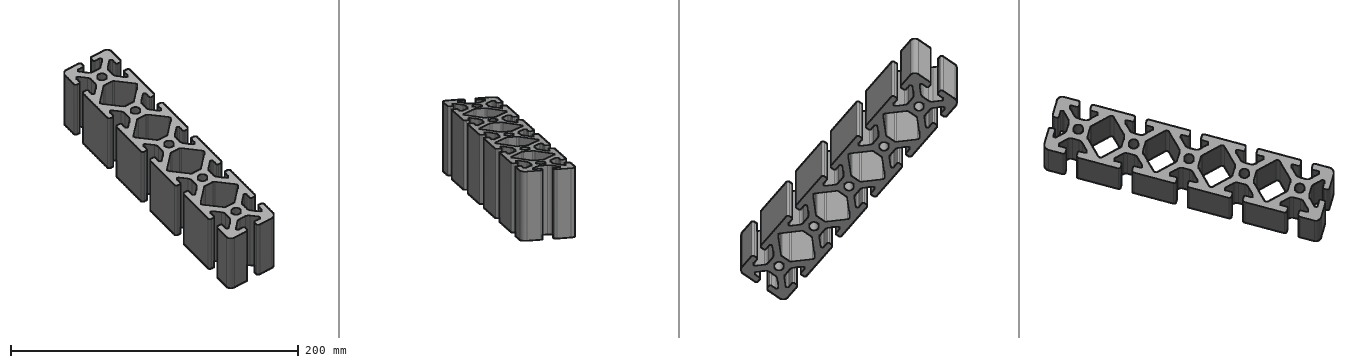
import cadquery as cq
import math

module_size = 40.0
module_count = 5
length = 50.0
corner_radius = 4.0

lip_thickness = 4.5
mouth_width = 8.2
mouth_outer_radius = 1.5
mouth_inner_radius = 1.0
cavity_half_width = 10.0
cavity_corner_radius = 1.0
floor_radius = 4.0

core_half_width = 7.5
strut_thickness = 5.0
bore_diameter = 6.8

hollow_radius = 2.0

half_module = module_size / 2
strut_offset = strut_thickness / math.sqrt(2)
total_width = module_count * module_size
module_centers = [(i - (module_count - 1) / 2) * module_size for i in range(module_count)]
hollow_centers = [x + half_module for x in module_centers[:-1]]


def rounded_prism(corners):
    """Prism over a closed polygon of (x, y, radius) corners; radius 0 leaves a corner sharp."""
    trims = []
    for i, (x, y, radius) in enumerate(corners):
        here = cq.Vector(x, y)
        to_previous = (cq.Vector(*corners[i - 1][:2]) - here).normalized()
        to_next = (cq.Vector(*corners[(i + 1) % len(corners)][:2]) - here).normalized()
        half_angle = to_previous.getAngle(to_next) / 2
        setback = radius / math.tan(half_angle)
        bisector = (to_previous + to_next).normalized()
        middle = here + bisector * (radius / math.sin(half_angle) - radius)
        trims.append((here + to_previous * setback, middle, here + to_next * setback, radius))

    outline = cq.Workplane("XY").moveTo(*trims[-1][2].toTuple()[:2])
    for start, middle, end, radius in trims:
        outline = outline.lineTo(start.x, start.y)
        if radius > 0:
            outline = outline.threePointArc((middle.x, middle.y), (end.x, end.y))
    return outline.close().extrude(length)


def mirrored(right_half):
    """Closed list of corners from those on the +X side, mirrored across the Y axis."""
    return right_half + [(-x, y, radius) for x, y, radius in reversed(right_half)]


def slot_cutter():
    """T-slot opening toward +Y, in a module centred on the origin."""
    mouth_half_width = mouth_width / 2
    lip_inner = half_module - lip_thickness
    flare_half_width = mouth_half_width + 2 * mouth_outer_radius
    return rounded_prism(mirrored([
        (core_half_width - strut_offset, core_half_width, floor_radius),
        (cavity_half_width, cavity_half_width + strut_offset, cavity_corner_radius),
        (cavity_half_width, lip_inner, cavity_corner_radius),
        (mouth_half_width, lip_inner, mouth_inner_radius),
        (mouth_half_width, half_module, mouth_outer_radius),
        (flare_half_width, half_module, 0),
        (flare_half_width, half_module + lip_thickness, 0),
    ]))


def hollow_cutter():
    """Six-sided hollow centred on the origin, pointed toward +Y and -Y, with rounded corners."""
    side = half_module - core_half_width
    tip = half_module - strut_offset
    return rounded_prism([
        (side, tip - side, hollow_radius),
        (0, tip, hollow_radius),
        (-side, tip - side, hollow_radius),
        (-side, side - tip, hollow_radius),
        (0, -tip, hollow_radius),
        (side, side - tip, hollow_radius),
    ])


def turned(cutter, angle):
    """Cutter rotated about the module axis by an angle in degrees."""
    return cutter.rotate((0, 0, 0), (0, 0, 1), angle)


body = (
    cq.Workplane("XY")
    .rect(total_width, module_size)
    .extrude(length)
    .edges("|Z")
    .fillet(corner_radius)
)

slot = slot_cutter()
for x in module_centers:
    body = body.cut(slot.translate((x, 0, 0)))
    body = body.cut(turned(slot, 180).translate((x, 0, 0)))

body = body.cut(turned(slot, 90).translate((module_centers[0], 0, 0)))
body = body.cut(turned(slot, -90).translate((module_centers[-1], 0, 0)))

hollow = hollow_cutter()
for x in hollow_centers:
    body = body.cut(hollow.translate((x, 0, 0)))

bores = (
    cq.Workplane("XY")
    .pushPoints([(x, 0) for x in module_centers])
    .circle(bore_diameter / 2)
    .extrude(length)
)

result = body.cut(bores)